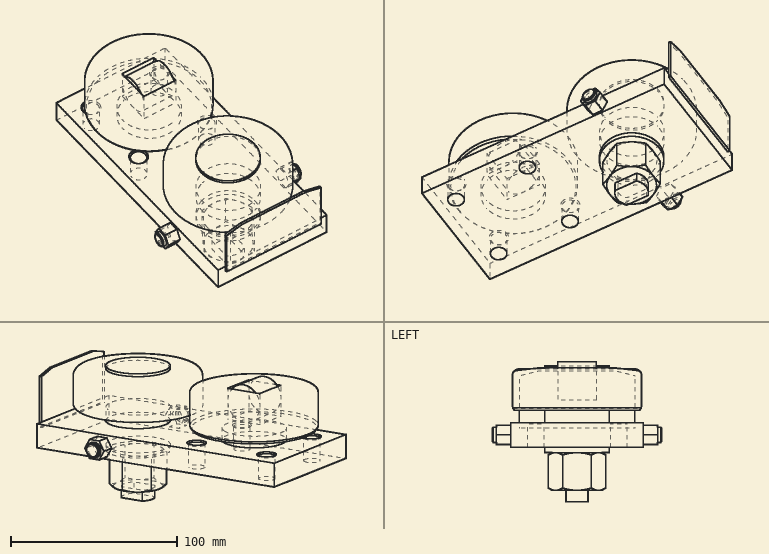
import cadquery as cq
import math

HEXAGON_HALF_ANGLE = 30

OVERALL_LENGTH = 171.5
OVERALL_WIDTH = 102.0

PLATE_LENGTH = 170.0
PLATE_WIDTH = 80.0
PLATE_THICKNESS = 15.0

HOLE_SPACING = 50.0
HOLE_DIAMETER = 10.0
HOLE_CHAMFER = 0.9
COUNTERSINK_ANGLE = 90

WIPER_THICKNESS = OVERALL_LENGTH - PLATE_LENGTH
WIPER_WIDTH = 69.6
WIPER_BOTTOM = 11.7
WIPER_TOP = 46.1
WIPER_CORNER_RUN = 11.7
WIPER_CORNER_DROP = 3.0

FIXED_X = 40.1
FIXED_RADIUS = 38.8
FIXED_BOTTOM = 22.3
FIXED_RIM_TOP = 46.1
FIXED_TOP = 47.8
FIXED_FACE_RADIUS = 23.2
FIXED_TOP_ROUND = 1.9
FIXED_BOTTOM_CHAMFER_HEIGHT = 1.5
FIXED_BOTTOM_CHAMFER_RUN = 1.0
FIXED_STEM_DIAMETER = 39.0

ROLLER_RADIUS = 11.5
ROLLER_LENGTH = 23.3
ROLLER_TOP = 51.6

ADJUSTABLE_X = 123.3
ADJUSTABLE_DIAMETER = 78.2
ADJUSTABLE_BOTTOM = 23.5
ADJUSTABLE_TOP = 47.3
ADJUSTABLE_TOP_ROUND = 4.8
ADJUSTABLE_BOTTOM_ROUND = 2.0
HUB_DIAMETER = 39.0
HUB_TOP = 49.0
HUB_BOTTOM = -3.3

NUT_ACROSS_FLATS = 30.0
NUT_HEIGHT = 22.6
NUT_CHAMFER_ANGLE = 30
STUD_DIAMETER = 20.2
STUD_ACROSS_FLATS = 13.5
STUD_BOTTOM = -33.0

LOCK_NUT_ACROSS_FLATS = 11.8
LOCK_NUT_HEIGHT = 8.5
SCREW_DIAMETER = 9.3
SCREW_REACH = (OVERALL_WIDTH - PLATE_WIDTH) / 2
SCREW_CHAMFER = 0.7


def cylinder(x, radius, bottom, top):
    """Upright cylinder on the centre line of the plate."""
    return cq.Workplane("XY", origin=(x, 0, bottom)).circle(radius).extrude(top - bottom)


def corner_diameter(across_flats):
    """Distance across the corners of a regular hexagon."""
    return across_flats / math.cos(math.radians(HEXAGON_HALF_ANGLE))


def make_plate():
    plate = cq.Workplane("XY").box(PLATE_LENGTH, PLATE_WIDTH, PLATE_THICKNESS, centered=(False, True, False))
    return (
        plate.faces(">Z")
        .workplane(origin=(FIXED_X, 0, PLATE_THICKNESS))
        .rect(HOLE_SPACING, HOLE_SPACING, forConstruction=True)
        .vertices()
        .cskHole(HOLE_DIAMETER, HOLE_DIAMETER + 2 * HOLE_CHAMFER, COUNTERSINK_ANGLE)
    )


def make_wiper():
    half_width = WIPER_WIDTH / 2
    shoulder = WIPER_TOP - WIPER_CORNER_DROP
    outline = [
        (-half_width, WIPER_BOTTOM),
        (half_width, WIPER_BOTTOM),
        (half_width, shoulder),
        (half_width - WIPER_CORNER_RUN, WIPER_TOP),
        (WIPER_CORNER_RUN - half_width, WIPER_TOP),
        (-half_width, shoulder),
    ]
    return cq.Workplane("YZ", origin=(PLATE_LENGTH, 0, 0)).polyline(outline).close().extrude(WIPER_THICKNESS)


def make_fixed_wheel():
    rim = cylinder(FIXED_X, FIXED_RADIUS, FIXED_BOTTOM, FIXED_RIM_TOP)
    rim = rim.faces(">Z").edges().fillet(FIXED_TOP_ROUND)
    rim = rim.faces("<Z").edges().chamfer(FIXED_BOTTOM_CHAMFER_HEIGHT, FIXED_BOTTOM_CHAMFER_RUN)
    crown = cq.Workplane(
        cq.Solid.makeCone(
            FIXED_RADIUS - FIXED_TOP_ROUND,
            FIXED_FACE_RADIUS,
            FIXED_TOP - FIXED_RIM_TOP,
            pnt=cq.Vector(FIXED_X, 0, FIXED_RIM_TOP),
        )
    )
    stem = cylinder(FIXED_X, FIXED_STEM_DIAMETER / 2, PLATE_THICKNESS, FIXED_BOTTOM)
    roller_bottom = ROLLER_TOP - 2 * ROLLER_RADIUS
    slot = cq.Workplane("XY", origin=(FIXED_X, 0, roller_bottom)).box(
        2 * ROLLER_RADIUS, ROLLER_LENGTH, ROLLER_TOP - roller_bottom, centered=(True, True, False)
    )
    return rim.union(crown).union(stem).cut(slot)


def make_adjustable_wheel():
    wheel = cylinder(ADJUSTABLE_X, ADJUSTABLE_DIAMETER / 2, ADJUSTABLE_BOTTOM, ADJUSTABLE_TOP)
    wheel = wheel.faces(">Z").edges().fillet(ADJUSTABLE_TOP_ROUND)
    wheel = wheel.faces("<Z").edges().fillet(ADJUSTABLE_BOTTOM_ROUND)
    return wheel.union(cylinder(ADJUSTABLE_X, HUB_DIAMETER / 2, HUB_BOTTOM, HUB_TOP))


def make_nut():
    """Hexagon nut with flats facing +X and -X and its corners chamfered at both ends."""
    corner_radius = corner_diameter(NUT_ACROSS_FLATS) / 2
    chamfer_run = corner_radius - NUT_ACROSS_FLATS / 2
    chamfer_drop = chamfer_run * math.tan(math.radians(NUT_CHAMFER_ANGLE))
    bottom = HUB_BOTTOM - NUT_HEIGHT
    hexagon = (
        cq.Workplane("XY", origin=(ADJUSTABLE_X, 0, bottom))
        .transformed(rotate=(0, 0, HEXAGON_HALF_ANGLE))
        .polygon(6, 2 * corner_radius)
        .extrude(NUT_HEIGHT)
    )
    envelope = cylinder(ADJUSTABLE_X, corner_radius, bottom, HUB_BOTTOM)
    envelope = envelope.faces("<Z or >Z").edges().chamfer(chamfer_drop, chamfer_run)
    return hexagon.intersect(envelope)


def make_stud():
    """Stud end with two flats facing +Y and -Y."""
    nut_bottom = HUB_BOTTOM - NUT_HEIGHT
    stud = cylinder(ADJUSTABLE_X, STUD_DIAMETER / 2, STUD_BOTTOM, nut_bottom)
    flats = cq.Workplane("XY", origin=(ADJUSTABLE_X, 0, STUD_BOTTOM)).box(
        STUD_DIAMETER, STUD_ACROSS_FLATS, nut_bottom - STUD_BOTTOM, centered=(True, True, False)
    )
    return stud.intersect(flats)


def make_clamp_screw(side):
    """Screw end and lock nut on one long side: -1 for -Y, +1 for +Y."""
    seat = cq.Plane(
        origin=(ADJUSTABLE_X, side * PLATE_WIDTH / 2, PLATE_THICKNESS / 2),
        xDir=(1, 0, 0),
        normal=(0, side, 0),
    )
    nut = cq.Workplane(seat).polygon(6, corner_diameter(LOCK_NUT_ACROSS_FLATS)).extrude(LOCK_NUT_HEIGHT)
    screw = cq.Workplane(seat).circle(SCREW_DIAMETER / 2).extrude(SCREW_REACH)
    tip = ">Y" if side > 0 else "<Y"
    return nut.union(screw.faces(tip).edges().chamfer(SCREW_CHAMFER))


def make_carriage():
    """Plate with both wheels and all fixed fittings, as one solid."""
    carriage = make_plate().union(make_wiper()).union(make_fixed_wheel()).union(make_adjustable_wheel())
    carriage = carriage.union(make_nut()).union(make_stud())
    for side in (-1, 1):
        carriage = carriage.union(make_clamp_screw(side))
    return carriage


def make_side_roller():
    """Roller with its axis along Y, filling the slot from end to end."""
    return (
        cq.Workplane("XZ", origin=(FIXED_X, ROLLER_LENGTH / 2, ROLLER_TOP - ROLLER_RADIUS))
        .circle(ROLLER_RADIUS)
        .extrude(ROLLER_LENGTH)
    )


carriage = make_carriage()
side_roller = make_side_roller()

result = cq.Compound.makeCompound([carriage.val(), side_roller.val()])